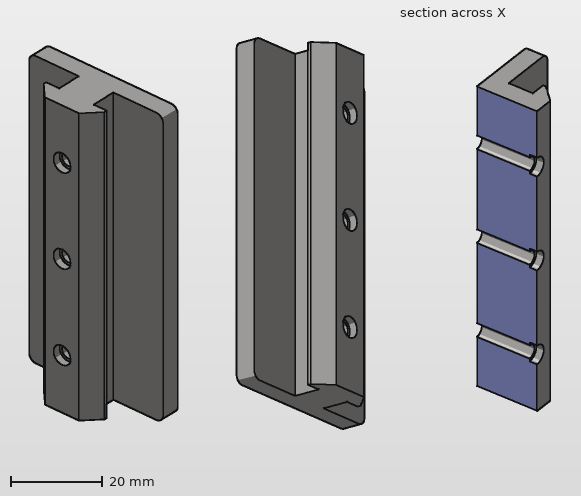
import cadquery as cq

length = 80
depth = 16.3
plate_width = 39.0
plate_thickness = 5.0
corner_radius = 2.0

neck_width = 10.1
head_width = 17.6
head_depth = 4.8
lip_depth = 0.8
tip_width = 10.1
tip_chamfer_width = 0.12
tip_chamfer_depth = 0.1

hole_diameter = 3.5
counterbore_diameter = 5.0
counterbore_depth = 2.0
hole_spacing = 25.0

plate_front = depth - plate_thickness


def make_plate():
    plate = cq.Workplane("XY").box(plate_width, plate_thickness, length)
    plate = plate.edges("|Y").fillet(corner_radius)
    return plate.translate((0, plate_front + plate_thickness / 2, 0))


def make_rail():
    right_side = [
        (tip_width / 2 - tip_chamfer_width, 0),
        (tip_width / 2, tip_chamfer_depth),
        (head_width / 2, head_depth - lip_depth),
        (head_width / 2, head_depth),
        (neck_width / 2, head_depth),
        (neck_width / 2, plate_front),
    ]
    left_side = [(-x, y) for x, y in reversed(right_side)]
    profile = cq.Workplane("XY").polyline(right_side + left_side).close()
    return profile.extrude(length / 2, both=True)


def cut_screw_holes(body):
    centers = [(0, i * hole_spacing) for i in (-1, 0, 1)]
    face = cq.Workplane("XZ").pushPoints(centers)
    bores = face.circle(hole_diameter / 2).extrude(-depth)
    counterbores = face.circle(counterbore_diameter / 2).extrude(-counterbore_depth)
    return body.cut(bores).cut(counterbores)


result = cut_screw_holes(make_plate().union(make_rail()))